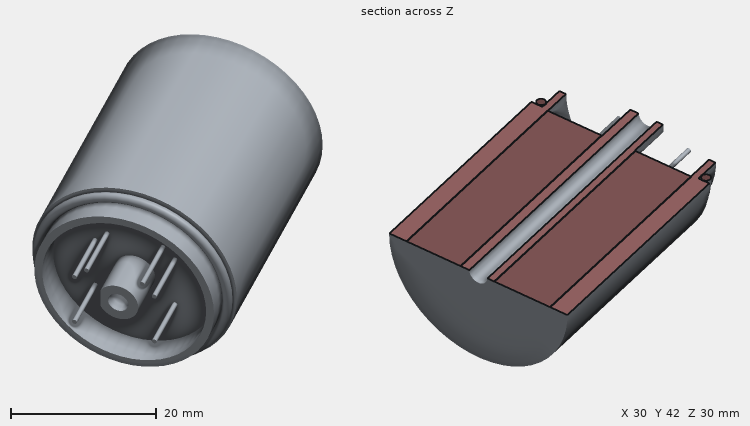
import cadquery as cq
import math

overall_length = 42.0
pin_reach = 8.0
rear_y = overall_length - pin_reach

housing_diameter = 30.0
neck_diameter = 26.35
neck_length = 4.07
bore_diameter = 24.02

core_front_y = 0.25

ring_thickness = 1.43

shaft_diameter = 5.9
shaft_bore_diameter = 3.0
shaft_flat_distance = 2.6
shaft_reach = 6.45

pin_diameter = 0.7
pin_circle_radius = 7.15
pin_angles = (-35, 35, 55, 125, 145, 215)


def rod(diameter, front_y, back_y, x=0, z=0):
    """Solid cylinder parallel to Y, between two Y positions."""
    return (
        cq.Workplane("XZ", origin=(x, front_y, z))
        .circle(diameter / 2)
        .extrude(front_y - back_y)
    )


def make_housing():
    sleeve = rod(housing_diameter, 0, rear_y)
    neck = rod(neck_diameter, -neck_length, 0)
    bore = rod(bore_diameter, -neck_length, rear_y)
    return sleeve.union(neck).cut(bore)


def make_shaft_envelope():
    """Flatted shaft profile without its bore, also used to cut its seat."""
    length = rear_y + shaft_reach
    block = cq.Workplane("XY").box(
        shaft_diameter, length, shaft_diameter, centered=(False, False, True)
    ).translate((-shaft_flat_distance, -shaft_reach, 0))
    return rod(shaft_diameter, -shaft_reach, rear_y).intersect(block)


def make_shaft():
    return make_shaft_envelope().cut(rod(shaft_bore_diameter, -shaft_reach, rear_y))


def make_core():
    return rod(bore_diameter, core_front_y, rear_y).cut(make_shaft_envelope())


def make_ring():
    section_radius = ring_thickness / 2
    return (
        cq.Workplane("XY")
        .center(neck_diameter / 2 + section_radius, -section_radius)
        .circle(section_radius)
        .revolve(
            360,
            (-neck_diameter / 2 - section_radius, 0),
            (-neck_diameter / 2 - section_radius, 1),
        )
    )


def make_pin(angle):
    x = pin_circle_radius * math.cos(math.radians(angle))
    z = pin_circle_radius * math.sin(math.radians(angle))
    return rod(pin_diameter, -pin_reach, core_front_y, x, z)


housing = make_housing()
core = make_core()
ring = make_ring()
shaft = make_shaft()
pins = [make_pin(angle) for angle in pin_angles]

result = cq.Compound.makeCompound(
    [housing.val(), core.val(), ring.val(), shaft.val(), *[pin.val() for pin in pins]]
)